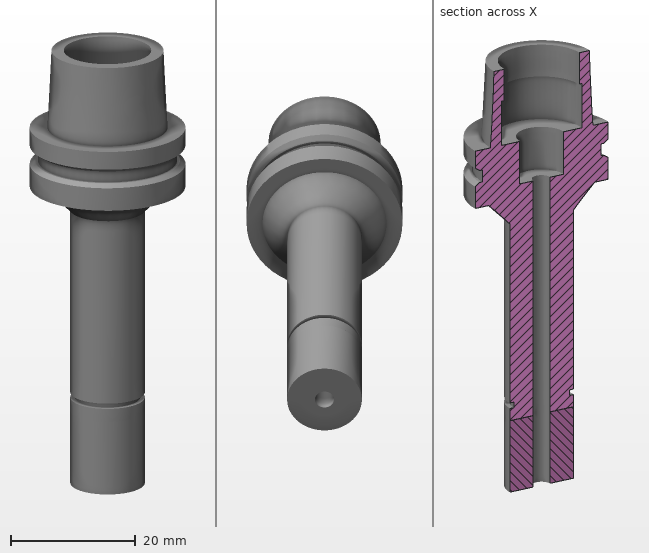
import cadquery as cq

TOTAL_HEIGHT = 73.0
TIP_HEIGHT = 12.3
RING_GROOVE_BOTTOM = 14.45
RING_GROOVE_TOP = 15.3
SHANK_TOP = 46.1
FLANGE_BOTTOM = 50.1
FLANGE_TOP = 60.0

SHANK_RADIUS = 6.0
RING_GROOVE_RADIUS = 5.25
FLANGE_RADIUS = 12.5
TAPER_BASE_RADIUS = 9.6
TAPER_TOP_RADIUS = 9.0
CONE_TOP_RADIUS = SHANK_RADIUS + FLANGE_BOTTOM - SHANK_TOP

GRIP_GROOVE_BOTTOM = 53.9
GRIP_GROOVE_TOP = 57.0
GRIP_GROOVE_CHAMFER_HEIGHT = 0.6
GRIP_GROOVE_CHAMFER_WIDTH = 0.9
GRIP_GROOVE_RADIUS = 11.2

BORE_RADIUS = 7.0
BORE_LIP_DEPTH = 5.5
UNDERCUT_RADIUS = 7.5
BORE_FLOOR = FLANGE_TOP
COUNTERBORE_RADIUS = 4.1
COUNTERBORE_DEPTH = 7.3
CHANNEL_RADIUS = 1.5


def cylinder(radius, bottom, top):
    """Upright cylinder on the Z axis between two heights."""
    return cq.Workplane("XY").workplane(offset=bottom).circle(radius).extrude(top - bottom)


def revolve_profile(points):
    """Revolve a closed (radius, height) outline around the Z axis."""
    return cq.Workplane("XZ").polyline(points).close().revolve(360, (0, 0), (0, 1))


def make_outer_form():
    """Solid form of the holder: grooved shank, cone, flange and taper."""
    return revolve_profile([
        (0, TIP_HEIGHT),
        (SHANK_RADIUS, TIP_HEIGHT),
        (SHANK_RADIUS, RING_GROOVE_BOTTOM),
        (RING_GROOVE_RADIUS, RING_GROOVE_BOTTOM),
        (RING_GROOVE_RADIUS, RING_GROOVE_TOP),
        (SHANK_RADIUS, RING_GROOVE_TOP),
        (SHANK_RADIUS, SHANK_TOP),
        (CONE_TOP_RADIUS, FLANGE_BOTTOM),
        (FLANGE_RADIUS, FLANGE_BOTTOM),
        (FLANGE_RADIUS, GRIP_GROOVE_BOTTOM),
        (FLANGE_RADIUS - GRIP_GROOVE_CHAMFER_WIDTH, GRIP_GROOVE_BOTTOM + GRIP_GROOVE_CHAMFER_HEIGHT),
        (GRIP_GROOVE_RADIUS, GRIP_GROOVE_BOTTOM + GRIP_GROOVE_CHAMFER_HEIGHT),
        (GRIP_GROOVE_RADIUS, GRIP_GROOVE_TOP - GRIP_GROOVE_CHAMFER_HEIGHT),
        (FLANGE_RADIUS - GRIP_GROOVE_CHAMFER_WIDTH, GRIP_GROOVE_TOP - GRIP_GROOVE_CHAMFER_HEIGHT),
        (FLANGE_RADIUS, GRIP_GROOVE_TOP),
        (FLANGE_RADIUS, FLANGE_TOP),
        (TAPER_BASE_RADIUS, FLANGE_TOP),
        (TAPER_TOP_RADIUS, TOTAL_HEIGHT),
        (0, TOTAL_HEIGHT),
    ])


def make_holder():
    """Holder with its undercut bore, counterbore and central channel."""
    lip_height = TOTAL_HEIGHT - BORE_LIP_DEPTH
    bore = cylinder(BORE_RADIUS, lip_height, TOTAL_HEIGHT)
    undercut = cylinder(UNDERCUT_RADIUS, BORE_FLOOR, lip_height)
    counterbore = cylinder(COUNTERBORE_RADIUS, BORE_FLOOR - COUNTERBORE_DEPTH, BORE_FLOOR)
    channel = cylinder(CHANNEL_RADIUS, TIP_HEIGHT, TOTAL_HEIGHT)
    return make_outer_form().cut(bore).cut(undercut).cut(counterbore).cut(channel)


def make_tip():
    """Plain sleeve below the holder, flush with the shank."""
    return cylinder(SHANK_RADIUS, 0, TIP_HEIGHT).cut(cylinder(CHANNEL_RADIUS, 0, TIP_HEIGHT))


holder = make_holder()
tip = make_tip()
result = cq.Compound.makeCompound([holder.val(), tip.val()])